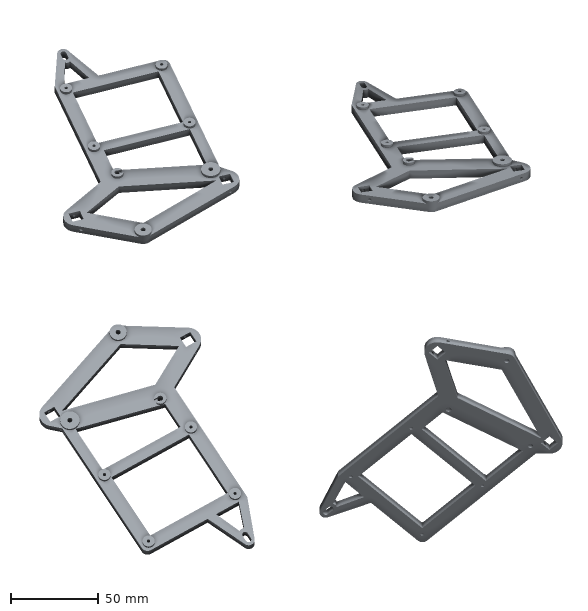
import cadquery as cq
import math

overall_length = 158.5
overall_width = 106.0

plate_height = 5.2
boss_height = 1.7
total_height = plate_height + boss_height

frame_left = 27.0
frame_bottom = 29.8
frame_top = 98.3
frame_corner_radius = 3.8

nose_y = 43.1
nose_radius = 3.5
nose_half_width = nose_y - frame_bottom
nose_opening_half_width = 7.6
nose_opening_tip_x = 10.8
nose_opening_tip_half_width = 1.5
nose_opening_bulge = 0.6
slot_start = 2.0
slot_end = 9.0
slot_width = 3.3

lobe_x = 129.5
lobe_radius = 7.5
lower_lobe = (lobe_x, lobe_radius)
upper_lobe = (lobe_x, overall_width - lobe_radius)
square_side = 6.8
pin_hole_diameter = 1.7
pin_hole_height = plate_height / 2
hub_radius = 4.9
hub = (overall_length - hub_radius, 39.8)
lower_junction = (108.0, frame_bottom)
upper_junction = (118.9, frame_top)

screw_boss_radius = 3.5
screw_hole_diameter = 1.9
screw_boss_left, screw_boss_right = 31.9, 80.8
screw_boss_low, screw_boss_high = 35.0, 93.0
pivot_boss = (120.5, 92.2)
pivot_boss_radius = 5.5
pivot_hole_diameter = 2.9
notched_boss = (105.4, 40.7)
notched_hole_diameter = 3.2
notch_width = 2.5

square_window = [(35.0, 38.0), (78.0, 38.0), (78.0, 90.0), (35.0, 90.0)]
slanted_window = [(84.6, 39.8), (101.6, 39.8), (114.8, 92.0), (84.6, 92.0)]
diamond_window = [(128.5, 92.9), (114.9, 38.4), (128.7, 14.1), (147.1, 42.2)]


def outward_normal_angle(start, end):
    """Direction of the outer normal of the tangent line between two (centre, radius) corners."""
    (x1, y1), r1 = start
    (x2, y2), r2 = end
    dx = x2 - x1
    dy = y2 - y1
    return math.atan2(dy, dx) - math.acos((r1 - r2) / math.hypot(dx, dy))


def point_on_corner(corner, angle):
    (x, y), radius = corner
    return (x + radius * math.cos(angle), y + radius * math.sin(angle))


def rounded_outline(corners):
    """Counterclockwise outline of tangent lines and arcs; zero radius gives a sharp corner."""
    count = len(corners)
    normals = [outward_normal_angle(corners[i], corners[(i + 1) % count]) for i in range(count)]
    outline = cq.Workplane("XY").moveTo(*point_on_corner(corners[0], normals[0]))
    for i in range(1, count):
        corner = corners[i]
        arc_start = normals[i - 1]
        outline = outline.lineTo(*point_on_corner(corner, arc_start))
        if corner[1] > 0:
            sweep = (normals[i] - arc_start) % (2 * math.pi)
            outline = outline.threePointArc(
                point_on_corner(corner, arc_start + sweep / 2),
                point_on_corner(corner, normals[i]),
            )
    return outline.close()


def cylinder(center, diameter, bottom, height):
    return cq.Workplane("XY", origin=(*center, bottom)).circle(diameter / 2).extrude(height)


def make_plate():
    corners = [
        ((frame_left, frame_bottom), 0),
        (lower_junction, 0),
        (lower_lobe, lobe_radius),
        (hub, hub_radius),
        (upper_lobe, lobe_radius),
        (upper_junction, 0),
        ((frame_left + frame_corner_radius, frame_top - frame_corner_radius), frame_corner_radius),
        ((frame_left, nose_y + nose_half_width), 0),
        ((nose_radius, nose_y), nose_radius),
    ]
    plate = rounded_outline(corners).extrude(plate_height)
    for window in (square_window, slanted_window, diamond_window):
        plate = plate.cut(cq.Workplane("XY").polyline(window).close().extrude(plate_height))
    return plate


def make_nose_openings():
    slot = (
        cq.Workplane("XY")
        .center((slot_start + slot_end) / 2, nose_y)
        .slot2D(slot_end - slot_start, slot_width)
        .extrude(plate_height)
    )
    opening = (
        cq.Workplane("XY")
        .moveTo(nose_opening_tip_x, nose_y - nose_opening_tip_half_width)
        .lineTo(frame_left, nose_y - nose_opening_half_width)
        .lineTo(frame_left, nose_y + nose_opening_half_width)
        .lineTo(nose_opening_tip_x, nose_y + nose_opening_tip_half_width)
        .threePointArc(
            (nose_opening_tip_x + nose_opening_bulge, nose_y),
            (nose_opening_tip_x, nose_y - nose_opening_tip_half_width),
        )
        .close()
        .extrude(plate_height)
    )
    return slot.union(opening)


def make_lobe_cut(center):
    """Square pocket through the plate with a pin hole crossing it along X."""
    x, y = center
    pocket = cq.Workplane("XY").center(x, y).rect(square_side, square_side).extrude(plate_height)
    pin_length = 4 * lobe_radius
    pin_hole = (
        cq.Workplane("YZ", origin=(x - pin_length / 2, y, pin_hole_height))
        .circle(pin_hole_diameter / 2)
        .extrude(pin_length)
    )
    return pocket.union(pin_hole)


bosses = [
    ((x, y), screw_boss_radius, screw_hole_diameter)
    for x in (screw_boss_left, screw_boss_right)
    for y in (screw_boss_low, screw_boss_high)
]
bosses += [
    (pivot_boss, pivot_boss_radius, pivot_hole_diameter),
    (notched_boss, screw_boss_radius, notched_hole_diameter),
    (hub, hub_radius, pivot_hole_diameter),
]

result = make_plate().cut(make_nose_openings())
for center in (lower_lobe, upper_lobe):
    result = result.cut(make_lobe_cut(center))

for center, radius, hole_diameter in bosses:
    result = result.union(cylinder(center, 2 * radius, plate_height, boss_height))
for center, radius, hole_diameter in bosses:
    result = result.cut(cylinder(center, hole_diameter, 0, total_height))

notch = (
    cq.Workplane("XY", origin=(*notched_boss, plate_height))
    .rect(notch_width, screw_boss_radius, centered=(True, False))
    .extrude(boss_height)
)
result = result.cut(notch)